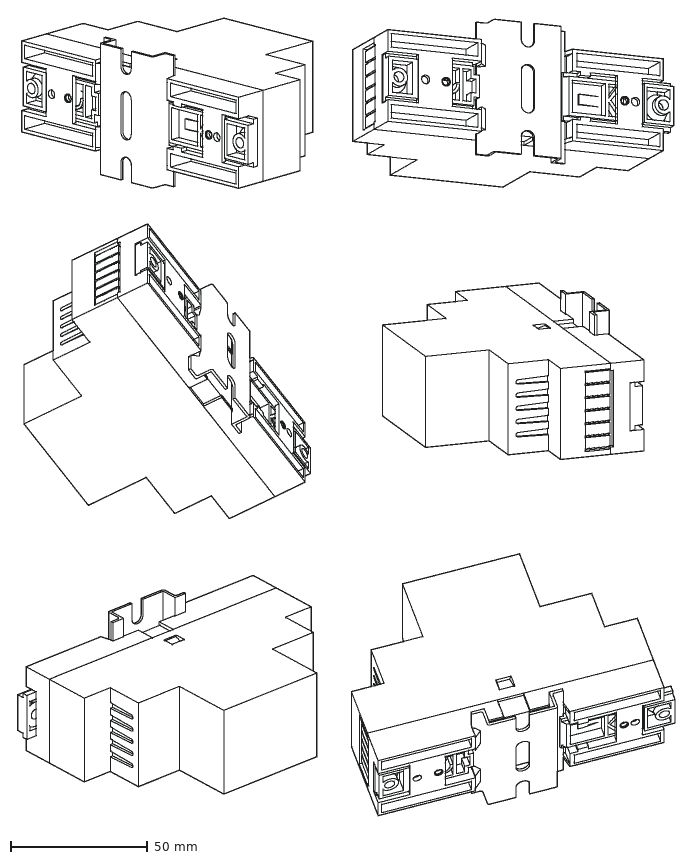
import cadquery as cq


half_length = 55.0
half_width = 17.4
base_height = 13.0
shoulder_height = 32.7
step_height = 48.5
top_height = 73.4
step_half_length = 42.4
top_half_length = 22.5

rail_length = 50.0
rail_half_length = rail_length / 2
rail_half_width = 17.6
rail_web_half_width = 13.5
rail_thickness = 1.0
rail_bend_radius = 0.8
rail_bottom = -2.2
rail_slot_width = 5.3
rail_slot_length = 18.3
rail_end_slot_depth = 9.1

channel_floor = 5.5
channel_half_width = rail_half_width
channel_mouth = 18.7
flange_underside = channel_floor - rail_thickness
pad_thickness = 0.3
pad_half_length = rail_web_half_width - rail_thickness
base_notch_half_length = 5.0
base_notch_depth = 1.4
wall_relief_z = 15.8

hook_z = (8.1, 16.0)
hook_tip_x = -14.9
hook_tip_y = 2.5
hook_shoulder_x = -16.6

foot_pocket_z = (10.9, 16.0)
foot_pocket_outer = 53.6
left_foot_pocket_inner = 19.1
right_foot_pocket_inner = 20.5
foot_roof = 2.3

clip_half_width = 9.1
bridge_thickness = 1.7
left_bridge = (29.1, 42.7)
right_bridge = (36.7, 46.6)
bridge_hole_radius = 1.6
stepped_hole_radius = 1.3
stepped_hole_depth = 0.5
left_plain_hole_x = -39.9
left_stepped_hole_x = -31.7
right_plain_hole_x = 43.9
right_stepped_hole_x = 39.7
guide_tab_x = (21.8, 26.0)
guide_tab_z = 7.8
guide_tab_thickness = 2.9
latch_half_width = 2.0
latch_height = 0.7
right_latch_x = (23.3, 25.4, 31.2)
left_latch_x = (-30.2, -27.5)

clip_flange_y = 3.3
clip_tongue_y = bridge_thickness
clip_tongue_half_width = 7.4
clip_head_y = 0.3
clip_head_length = 11.8
clip_window_half_width = 6.1
clip_end_wall = 1.6
boss_offset = 4.1
boss_base_radius = 5.0
boss_top_radius = 3.4
boss_flare_height = 2.7
boss_hole_radius = 2.0

right_clip = (16.1, 59.3)
right_head_window = 9.0
nose_flange_x = 16.6
nose_tongue_x = 18.1
nose_body_x = 17.7
right_main_window = (19.4, 32.6)
right_spring_window = (34.0, 41.5)
chevron_end_x = 39.2
chevron_outer_half = 8.0
chevron_inner_half = 5.4
chevron_wall = 1.7

left_clip = (17.7, 54.5)
left_head_window = 7.9
neck_x = 19.8
neck_half_width = 4.2
left_spring_window = (25.6, 34.3)
left_main_window = (21.1, 24.2)
neck_window_x = 19.1
neck_window_half_width = 2.6
curl_outer_radius = 4.1
curl_thickness = 1.1

vent_count = 5
vent_pitch = 5.0
vent_mouth_width = 2.4
vent_tip_radius = 0.86
vent_end_y = 45.4
vent_depth = 1.1

window_half_length = 3.0
window_draft = 0.6
window_y = (17.1, 21.7)
window_depths = (0.6, 1.7)

terminal_count = 6
terminal_width = 4.2
terminal_gap = 0.74
terminal_pitch = terminal_width + terminal_gap
terminal_depth = 6.9
terminal_setback = 0.9
terminal_groove_depth = 0.9
terminal_mouth_depth = terminal_setback + terminal_groove_depth
terminal_top_y = 23.0
terminal_opening_half_width = 15.3
terminal_stack_half_width = (terminal_pitch * (terminal_count - 1) + terminal_width) / 2
terminal_sill_depth = 1.1


def block(x_range, y_range, z_range):
    """Axis-aligned box between the given limits."""
    size = [limits[1] - limits[0] for limits in (x_range, y_range, z_range)]
    corner = (x_range[0], y_range[0], z_range[0])
    return cq.Workplane("XY").box(*size, centered=False).translate(corner)


def wide_block(x_range, y_range, half_z):
    """Box that is symmetric about Z = 0."""
    return block(x_range, y_range, (-half_z, half_z))


def prism(points, z_range):
    """Straight-sided XY outline extruded between two Z levels."""
    sketch = cq.Workplane("XY").workplane(offset=z_range[0])
    return sketch.polyline(points).close().extrude(z_range[1] - z_range[0])


def slat(points, y_range):
    """Straight-sided outline of (x, z) points extruded between two Y levels."""
    sketch = cq.Workplane("XZ", origin=(0, y_range[1], 0))
    return sketch.polyline(points).close().extrude(y_range[1] - y_range[0])


def post(x, radius, y_range):
    """Cylinder along Y, centred at Z = 0."""
    sketch = cq.Workplane("XZ", origin=(x, y_range[1], 0))
    return sketch.circle(radius).extrude(y_range[1] - y_range[0])


def mirrored_pair(solid, plane):
    """A feature together with its mirror image."""
    return solid.union(solid.mirror(plane))


def vent_slots():
    """Tapered slots rising from the shoulder, cut into the -X end of the middle step."""
    tip_centre_y = vent_end_y - vent_tip_radius
    mouth = vent_mouth_width / 2
    slots = cq.Workplane("YZ", origin=(-step_half_length, 0, 0))
    for index in range(vent_count):
        z = (index - (vent_count - 1) / 2) * vent_pitch
        slots = (
            slots.moveTo(shoulder_height, z - mouth)
            .lineTo(tip_centre_y, z - vent_tip_radius)
            .threePointArc((vent_end_y, z), (tip_centre_y, z + vent_tip_radius))
            .lineTo(shoulder_height, z + mouth)
            .close()
        )
    return slots.extrude(vent_depth)


def indicator_window():
    """Shallow window with drafted sides and a floor that slopes down towards +Y."""
    deep = window_depths[1]
    floor_half_length = window_half_length - window_draft
    tapered = cq.Workplane("XZ", origin=(0, window_y[1], 0)).polyline([
        (-window_half_length, half_width),
        (window_half_length, half_width),
        (floor_half_length, half_width - deep),
        (-floor_half_length, half_width - deep),
    ]).close().extrude(window_y[1] - window_y[0])
    above_floor = cq.Workplane("YZ", origin=(-window_half_length, 0, 0)).polyline([
        (window_y[0], half_width),
        (window_y[1], half_width),
        (window_y[1], half_width - deep),
        (window_y[0], half_width - window_depths[0]),
    ]).close().extrude(2 * window_half_length)
    return tapered.intersect(above_floor)


def terminal_opening():
    """Recess in the -X end: a wide mouth and a close-fitting seat for the terminal block."""
    face = -half_length
    rows = (base_height, terminal_top_y)
    mouth = wide_block((face, face + terminal_mouth_depth), rows,
                       terminal_opening_half_width)
    seat = wide_block((face, face + terminal_depth), rows, terminal_stack_half_width)
    return mouth.union(seat)


def make_housing():
    body = wide_block((-half_length, half_length), (base_height, shoulder_height), half_width)
    body = body.union(
        wide_block((-step_half_length, step_half_length), (shoulder_height, step_height), half_width)
    )
    body = body.union(
        wide_block((-top_half_length, top_half_length), (step_height, top_height), half_width)
    )
    body = body.cut(mirrored_pair(vent_slots(), "YZ"))
    return body.cut(indicator_window()).cut(terminal_opening())


def make_terminal_block():
    """Block with one raised face per terminal, parted by grooves."""
    rows = (base_height, terminal_top_y)
    front = -half_length + terminal_setback
    groove_floor = front + terminal_groove_depth
    body = wide_block((groove_floor, -half_length + terminal_depth), rows, terminal_stack_half_width)
    for index in range(terminal_count):
        low = -terminal_stack_half_width + index * terminal_pitch
        body = body.union(block((front, groove_floor), rows, (low, low + terminal_width)))
    return body


def base_blank():
    """Plate with the rail channel; the right wall of the channel leans outwards."""
    return prism([
        (-half_length, 0),
        (-channel_half_width, 0),
        (-channel_half_width, channel_floor),
        (channel_half_width, channel_floor),
        (channel_half_width, flange_underside),
        (channel_mouth, 0),
        (half_length, 0),
        (half_length, base_height),
        (-half_length, base_height),
    ], (-half_width, half_width))


def foot_pockets():
    depth = (0, base_height - foot_roof)
    left = block((-foot_pocket_outer, -left_foot_pocket_inner), depth, foot_pocket_z)
    right = block((right_foot_pocket_inner, foot_pocket_outer), depth, foot_pocket_z)
    return mirrored_pair(left.union(right), "XY")


def channel_details(base):
    """Edge pads beside a centre notch on each side, and reliefs in the leaning wall."""
    edge = (half_width - base_notch_depth, half_width)
    pads = block((-pad_half_length, pad_half_length), (channel_floor - pad_thickness, channel_floor), edge)
    notch = block((-base_notch_half_length, base_notch_half_length), (0, base_height), edge)
    relief = block((channel_half_width, channel_mouth), (0, channel_floor),
                   (clip_half_width, wall_relief_z))
    base = base.union(mirrored_pair(pads, "XY"))
    return base.cut(mirrored_pair(notch.union(relief), "XY"))


def rail_hooks():
    hook = prism([
        (-channel_half_width, 0),
        (hook_tip_x, hook_tip_y),
        (hook_shoulder_x, flange_underside),
        (-channel_half_width, flange_underside),
    ], hook_z)
    return mirrored_pair(hook, "XY")


def clip_guides():
    """Slideways for both clips; each runs under a bridge left standing at the foot face."""
    depth = (0, channel_floor)
    guides = wide_block((channel_half_width, half_length), depth, clip_half_width)
    guides = mirrored_pair(guides, "YZ")
    bridges = wide_block((-left_bridge[1], -left_bridge[0]), (0, bridge_thickness), clip_half_width)
    bridges = bridges.union(wide_block(right_bridge, (0, bridge_thickness), clip_half_width))
    return guides.cut(bridges)


def bridge_holes():
    through = (0, bridge_thickness)
    mouth = (0, stepped_hole_depth)
    holes = post(left_plain_hole_x, bridge_hole_radius, through)
    holes = holes.union(post(right_plain_hole_x, bridge_hole_radius, through))
    for x in (left_stepped_hole_x, right_stepped_hole_x):
        holes = holes.union(post(x, stepped_hole_radius, through))
        holes = holes.union(post(x, bridge_hole_radius, mouth))
    return holes


def guide_tabs():
    """Tabs that hold down the flanges of the right clip."""
    tab = block(guide_tab_x, (0, guide_tab_thickness), (guide_tab_z, clip_half_width))
    return mirrored_pair(tab, "XY")


def latches():
    """Ramped stops on the floors of the two slideways."""
    crest = channel_floor - latch_height
    width = (-latch_half_width, latch_half_width)
    start, crest_end, ramp_end = right_latch_x
    right = prism([
        (start, channel_floor), (start, crest), (crest_end, crest), (ramp_end, channel_floor)
    ], width)
    ramp_start, stop = left_latch_x
    left = prism([(ramp_start, channel_floor), (stop, crest), (stop, channel_floor)], width)
    return left.union(right)


def make_base():
    base = channel_details(base_blank())
    base = base.cut(foot_pockets()).cut(clip_guides()).cut(bridge_holes())
    sill = wide_block(
        (-half_length, -half_length + terminal_mouth_depth),
        (base_height - terminal_sill_depth, base_height),
        terminal_stack_half_width,
    )
    base = base.cut(sill)
    return base.union(rail_hooks()).union(guide_tabs()).union(latches())


def clip_blank(inner, outer, window_length):
    """Flanged tongue with a raised pull end that frames a flared boss."""
    reach = (inner, outer)
    clip = wide_block(reach, (clip_flange_y, channel_floor), clip_half_width)
    clip = clip.union(wide_block(reach, (clip_tongue_y, channel_floor), clip_tongue_half_width))
    head_y = (clip_head_y, channel_floor)
    clip = clip.union(wide_block((outer - clip_head_length, outer), head_y, clip_tongue_half_width))

    window_end = outer - clip_end_wall
    window = wide_block((window_end - window_length, window_end), head_y, clip_window_half_width)
    boss_x = outer - boss_offset
    flare_top = channel_floor - boss_flare_height
    boss = cq.Workplane("XY", origin=(boss_x, 0, 0)).polyline([
        (0, channel_floor),
        (boss_base_radius, channel_floor),
        (boss_top_radius, flare_top),
        (boss_top_radius, clip_head_y),
        (0, clip_head_y),
    ]).close().revolve(360, (0, 0, 0), (0, 1, 0))
    clip = clip.cut(window.cut(boss))
    return clip.cut(post(boss_x, boss_hole_radius, head_y))


def clip_window(x_range, half_z):
    return wide_block(x_range, (clip_tongue_y, channel_floor), half_z)


def make_right_clip():
    """Clip with a ramped nose under the rail flange and a chevron spring."""
    nose, outer = right_clip
    clip = clip_blank(nose, outer, right_head_window)
    clip = clip.cut(wide_block((nose, nose_body_x), (flange_underside, channel_floor), clip_half_width))

    slope = (clip_flange_y - clip_tongue_y) / (nose_tongue_x - nose_flange_x)
    nose_y = clip_flange_y + slope * (nose_flange_x - nose)
    ramp = prism([(nose, nose_y), (nose_tongue_x, clip_tongue_y), (nose, clip_tongue_y)],
                 (-clip_half_width, clip_half_width))
    clip = clip.cut(ramp).cut(clip_window(right_main_window, clip_window_half_width))

    spring = clip_window(right_spring_window, clip_window_half_width)
    apex = right_spring_window[0]
    end = chevron_end_x
    chevron = slat([
        (apex, chevron_wall / 2), (end, chevron_outer_half), (end, chevron_inner_half),
        (apex + chevron_wall / 2, 0),
        (end, -chevron_inner_half), (end, -chevron_outer_half), (apex, -chevron_wall / 2),
    ], (clip_tongue_y, channel_floor))
    return clip.cut(spring.cut(chevron))


def make_left_clip():
    """Clip with a necked tongue and a curled spring; shaped towards +X, then mirrored."""
    inner, outer = left_clip
    depth = (clip_tongue_y, channel_floor)
    clip = clip_blank(inner, outer, left_head_window)
    corner = block((inner, neck_x), depth, (neck_half_width, clip_half_width))
    clip = clip.cut(mirrored_pair(corner, "XY"))
    clip = clip.cut(clip_window(left_main_window, clip_window_half_width))
    clip = clip.cut(clip_window((neck_window_x, left_main_window[0]), neck_window_half_width))

    curl_x = left_spring_window[0] + curl_outer_radius
    curl = post(curl_x, curl_outer_radius, depth)
    curl = curl.cut(post(curl_x, curl_outer_radius - curl_thickness, depth))
    quarter = block((curl_x - curl_outer_radius, curl_x), depth, (-curl_outer_radius, 0))
    stub = block((left_spring_window[0], left_spring_window[0] + curl_thickness), depth,
                 (0, curl_thickness / 2))
    spring = clip_window(left_spring_window, clip_window_half_width)
    clip = clip.cut(spring.cut(curl.intersect(quarter).union(stub)))
    return clip.mirror("YZ")


def rail_slots():
    """One closed slot in the middle and an open slot at each end of the web."""
    sketch = cq.Workplane("XZ", origin=(0, rail_bottom + rail_thickness, 0))
    end_slot_z = (-rail_half_length, rail_half_length)
    slots = sketch.slot2D(rail_slot_length, rail_slot_width, 90).extrude(rail_thickness)
    ends = sketch.pushPoints([(0, z) for z in end_slot_z])
    ends = ends.slot2D(2 * rail_end_slot_depth, rail_slot_width, 90).extrude(rail_thickness)
    return slots.union(ends)


def make_rail():
    """Top-hat section with bent outer corners."""
    web_inner = rail_web_half_width - rail_thickness
    half_section = [
        (0, rail_bottom),
        (rail_web_half_width, rail_bottom),
        (rail_web_half_width, flange_underside),
        (rail_half_width, flange_underside),
        (rail_half_width, channel_floor),
        (web_inner, channel_floor),
        (web_inner, rail_bottom + rail_thickness),
        (0, rail_bottom + rail_thickness),
    ]
    half = prism(half_section, (-rail_half_length, rail_half_length))
    bends = cq.selectors.BoxSelector(
        (web_inner + rail_thickness / 2, rail_bottom - rail_thickness / 2, -rail_half_length),
        (rail_web_half_width + rail_thickness / 2, flange_underside + rail_thickness / 2, rail_half_length),
    )
    half = half.edges("|Z").edges(bends).fillet(rail_bend_radius)
    return mirrored_pair(half, "YZ").cut(rail_slots())


housing = make_housing()
terminal_block = make_terminal_block()
base = make_base()
left_slide_clip = make_left_clip()
right_slide_clip = make_right_clip()
rail = make_rail()

result = cq.Compound.makeCompound([
    housing.solids().val(),
    terminal_block.solids().val(),
    base.solids().val(),
    left_slide_clip.solids().val(),
    right_slide_clip.solids().val(),
    rail.solids().val(),
])